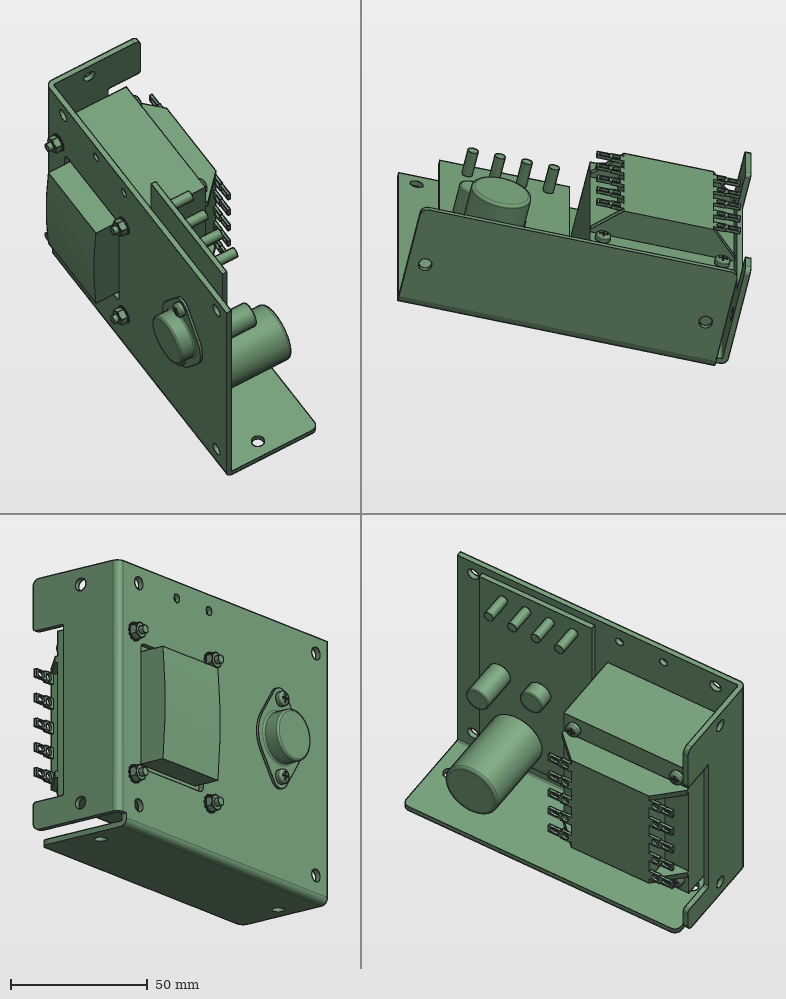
import cadquery as cq
import math

chassis_width = 123.8
chassis_depth = 39.9
chassis_height = 101.4
sheet = 2.1
bend_radius = 2.7
corner_relief = 4.7
flange_corner_radius = 2.7
notch_bottom = 15.5
notch_top = 81.5
notch_floor_y = 25.8
notch_floor_radius = 0.7
notch_mouth_radius = 1.4

mount_hole_diameter = 4.8
mount_hole_left = 12.0
mount_hole_right = 117.0
plate_hole_low = 9.5
plate_hole_high = 95.1
flange_hole_y = 17.7
flange_hole_right = 117.4
flange_hole_low = 11.0
small_hole_diameter = 3.3
small_hole_places = (34.5, 53.6)

core_center_x = 31.7
core_center_z = 48.3
core_width = 54.1
core_height = 65.9
core_back = 32.1
coil_width = 32.6
coil_height = 43.3
coil_shoulder = 8.5
coil_crown = 9.5
window_width = 37.1
window_height = 48.3
window_radius = 2.4
bobbin_back = 43.1
bobbin_back_width = 33.7
bobbin_height = 46.8
bobbin_flange = 2.5
bobbin_lip = 1.1

lug_count = 5
lug_pitch = 9.5
lug_thickness = 1.1
lug_reach = 10.0
lug_tip_length = 5.5
lug_tip_width = 3.1
lug_root_width = 4.1
lug_hole_diameter = 3.0
lug_hole_from_tip = 7.3
lug_slot_length = 3.7
lug_slot_width = 2.1

bolt_spacing_x = 44.8
bolt_spacing_z = 54.9
bolt_diameter = 3.1
bolt_tip = 5.2
washer_thickness = 0.5
washer_diameter = 6.1
tooth_count = 12
tooth_tip_diameter = 6.9
tooth_width = 0.9
nut_end = 3.2
nut_flats = 5.6
nut_chamfer = 0.5
head_diameter = 5.6
head_height = 2.5
head_rounding = 1.1
cross_length = 3.1
cross_width = 0.5
cross_depth = 0.7

transistor_x = 94.6
transistor_z = 56.5
transistor_base = 1.0
transistor_base_radius = 12.9
transistor_ear_radius = 4.3
transistor_screw_offset = 15.0
can_diameter = 19.5
can_end = 7.5
can_rounding = 0.7

board_left = 61.2
board_width = 48.8
board_bottom = 14.4
board_top = 104.3
board_front = 7.0
board_thickness = 2.0
board_back = board_front + board_thickness
spacer_diameter = 6.3
terminal_count = 4
terminal_pitch = 10.2
terminal_first_x = 69.2
terminal_z = 97.5
terminal_diameter = 4.0
terminal_end = 19.0
big_capacitor = dict(x=93.9, z=26.5, diameter=22.3, end=40.4, rounding=1.1)
tall_capacitor = dict(x=101.2, z=57.0, diameter=9.5, end=24.5, rounding=0.5)
short_capacitor = dict(x=83.7, z=57.0, diameter=9.5, end=15.2, rounding=0.5)


def block(x0, x1, y0, y1, z0, z1):
    """Box between two corners."""
    return cq.Workplane("XY").box(x1 - x0, y1 - y0, z1 - z0, centered=False).translate((x0, y0, z0))


def plane_at(y):
    """Drawing plane parallel to the front plate, with local axes X and Z, facing the front."""
    return cq.Workplane("XZ", origin=(0, y, 0))


def rod(x, z, y_front, y_back, diameter):
    """Cylinder along Y."""
    return plane_at(y_back).center(x, z).circle(diameter / 2).extrude(y_back - y_front)


def bent_angle(plane, start, end, plate_length):
    """Plate and flange joined by a round bend, extruded from start to end."""
    return (
        cq.Workplane(plane)
        .workplane(offset=start)
        .moveTo(plate_length, 0)
        .lineTo(bend_radius, 0)
        .radiusArc((0, bend_radius), bend_radius)
        .lineTo(0, chassis_depth)
        .lineTo(sheet, chassis_depth)
        .lineTo(sheet, bend_radius)
        .radiusArc((bend_radius, sheet), sheet - bend_radius)
        .lineTo(plate_length, sheet)
        .close()
        .extrude(end - start)
    )


def make_left_angle():
    angle = bent_angle("XY", corner_relief, chassis_height, chassis_width)
    angle = angle.edges("|X and >Y").fillet(flange_corner_radius)
    notch = block(-sheet, 2 * sheet, notch_floor_y, chassis_depth + sheet, notch_bottom, notch_top)
    angle = angle.cut(notch.edges("|X and <Y").fillet(notch_floor_radius))
    mouth_corners = cq.selectors.BoxSelector(
        (-sheet, chassis_depth - sheet, notch_bottom - sheet),
        (2 * sheet, chassis_depth + sheet, notch_top + sheet),
    )
    angle = angle.edges(mouth_corners).edges("|X").fillet(notch_mouth_radius)
    for z in (flange_hole_low, plate_hole_high):
        angle = angle.cut(
            cq.Workplane("YZ", origin=(-sheet, flange_hole_y, z)).circle(mount_hole_diameter / 2).extrude(3 * sheet)
        )
    return angle


def make_bottom_angle():
    angle = bent_angle("ZY", -chassis_width, -corner_relief, chassis_height)
    angle = angle.edges("|Z and >Y").fillet(flange_corner_radius)
    for x in (mount_hole_left, flange_hole_right):
        angle = angle.cut(
            cq.Workplane("XY", origin=(x, flange_hole_y, -sheet)).circle(mount_hole_diameter / 2).extrude(3 * sheet)
        )
    return angle


def bolt_places():
    return [
        (core_center_x + side * bolt_spacing_x / 2, core_center_z + level * bolt_spacing_z / 2)
        for side in (-1, 1)
        for level in (-1, 1)
    ]


def make_bracket():
    bracket = make_left_angle().union(make_bottom_angle())
    window = block(
        core_center_x - window_width / 2, core_center_x + window_width / 2, -sheet, 2 * sheet,
        core_center_z - window_height / 2, core_center_z + window_height / 2,
    )
    bracket = bracket.cut(window.edges("|Y").fillet(window_radius))
    holes = [(x, z, mount_hole_diameter) for x in (mount_hole_left, mount_hole_right)
             for z in (plate_hole_low, plate_hole_high)]
    holes += [(x, plate_hole_high, small_hole_diameter) for x in small_hole_places]
    holes += [(x, z, bolt_diameter) for x, z in bolt_places()]
    for x, z, diameter in holes:
        bracket = bracket.cut(rod(x, z, -sheet, 2 * sheet, diameter))
    return bracket


def screw_head():
    """Rounded head on the XY plane with a cross recess in its top."""
    head = cq.Workplane("XY").circle(head_diameter / 2).extrude(head_height)
    head = head.faces(">Z").edges().fillet(head_rounding)
    cross = cq.Workplane("XY", origin=(0, 0, head_height - cross_depth))
    for length, width in ((cross_length, cross_width), (cross_width, cross_length)):
        head = head.cut(cross.rect(length, width).extrude(head_height))
    return head


def head_facing_front(x, y, z):
    return screw_head().rotate((0, 0, 0), (1, 0, 0), 90).translate((x, y, z))


def head_facing_back(x, y, z):
    return screw_head().rotate((0, 0, 0), (1, 0, 0), -90).translate((x, y, z))


def make_transistor():
    tilt = math.asin((transistor_base_radius - transistor_ear_radius) / transistor_screw_offset)
    side_x, side_z = math.cos(tilt), math.sin(tilt)
    middle = (transistor_base_radius * side_x, transistor_base_radius * side_z)
    ear = (transistor_ear_radius * side_x, transistor_screw_offset + transistor_ear_radius * side_z)
    ear_top = (0, transistor_screw_offset + transistor_ear_radius)
    flange = (
        plane_at(0)
        .center(transistor_x, transistor_z)
        .moveTo(middle[0], -middle[1])
        .threePointArc((transistor_base_radius, 0), middle)
        .lineTo(*ear)
        .threePointArc(ear_top, (-ear[0], ear[1]))
        .lineTo(-middle[0], middle[1])
        .threePointArc((-transistor_base_radius, 0), (-middle[0], -middle[1]))
        .lineTo(-ear[0], -ear[1])
        .threePointArc((0, -ear_top[1]), (ear[0], -ear[1]))
        .close()
        .extrude(transistor_base)
    )
    can = rod(transistor_x, transistor_z, -can_end, 0, can_diameter)
    can = can.faces("<Y").edges().fillet(can_rounding)
    transistor = flange.union(can)
    foot_edge = cq.selectors.BoxSelector(
        (transistor_x - can_diameter, -1.1 * transistor_base, transistor_z - can_diameter),
        (transistor_x + can_diameter, -0.9 * transistor_base, transistor_z + can_diameter),
    )
    foot_circles = transistor.edges(foot_edge).edges("%CIRCLE")
    transistor = foot_circles.edges(cq.selectors.RadiusNthSelector(1)).fillet(can_rounding)
    for side in (-1, 1):
        z = transistor_z + side * transistor_screw_offset
        transistor = transistor.union(head_facing_front(transistor_x, -transistor_base, z))
    return transistor


def capacitor_can(x, z, diameter, end, rounding):
    return rod(x, z, board_back, end, diameter).faces(">Y").edges().fillet(rounding)


def make_board():
    board = block(board_left, board_left + board_width, board_front, board_back, board_bottom, board_top)
    for side in (-1, 1):
        z = transistor_z + side * transistor_screw_offset
        board = board.union(rod(transistor_x, z, sheet, board_front, spacer_diameter))
    for i in range(terminal_count):
        x = terminal_first_x + i * terminal_pitch
        board = board.union(rod(x, terminal_z, board_back, terminal_end, terminal_diameter))
    for capacitor in (big_capacitor, tall_capacitor, short_capacitor):
        board = board.union(capacitor_can(**capacitor))
    return board


def make_coil():
    """Winding with a bulged front face that sticks out through the plate window."""
    low = core_center_z - coil_height / 2
    high = core_center_z + coil_height / 2
    return (
        cq.Workplane("YZ", origin=(core_center_x - coil_width / 2, 0, 0))
        .moveTo(core_back, low)
        .lineTo(-coil_shoulder, low)
        .threePointArc((-coil_crown, core_center_z), (-coil_shoulder, high))
        .lineTo(core_back, high)
        .close()
        .extrude(coil_width)
    )


def make_bobbin():
    """Two tapered flanges on the back of the core with a plain block between them."""
    half_core = core_width / 2
    half_back = bobbin_back_width / 2
    outline = [
        (-half_core, core_back),
        (half_core, core_back),
        (half_core, core_back + bobbin_lip),
        (half_back, bobbin_back),
        (-half_back, bobbin_back),
        (-half_core, core_back + bobbin_lip),
    ]
    bottom = core_center_z - bobbin_height / 2
    top = core_center_z + bobbin_height / 2
    bobbin = block(
        core_center_x - half_back, core_center_x + half_back, core_back, bobbin_back, bottom, top
    )
    for z in (bottom, top - bobbin_flange):
        flange = cq.Workplane("XY", origin=(core_center_x, 0, z)).polyline(outline).close().extrude(bobbin_flange)
        bobbin = bobbin.union(flange)
    return bobbin


def make_lug(side, z):
    """Stepped flat lug with a slot in its narrow tip and a round hole in its wide root."""
    base = plane_at(bobbin_back).center(core_center_x + side * bobbin_back_width / 2, z)
    root_length = lug_reach - lug_tip_length
    root_middle = side * root_length / 2
    tip_middle = side * (root_length + lug_tip_length / 2)
    hole_middle = side * (lug_reach - lug_hole_from_tip)
    root = base.moveTo(root_middle, 0).rect(root_length, lug_root_width).extrude(lug_thickness)
    tip = base.moveTo(tip_middle, 0).rect(lug_tip_length, lug_tip_width).extrude(lug_thickness)
    hole = base.moveTo(hole_middle, 0).circle(lug_hole_diameter / 2).extrude(lug_thickness)
    slot = base.moveTo(tip_middle, 0).slot2D(lug_slot_length, lug_slot_width).extrude(lug_thickness)
    return root.union(tip).cut(hole).cut(slot)


def make_bolt(x, z):
    """Head behind the core, shank through the plate, toothed washer and nut on the front."""
    bolt = head_facing_back(x, core_back, z).union(rod(x, z, -bolt_tip, core_back, bolt_diameter))
    bolt = bolt.union(rod(x, z, -washer_thickness, 0, washer_diameter))
    for i in range(tooth_count):
        tooth = (
            plane_at(0).rect(tooth_tip_diameter / 2, tooth_width).extrude(washer_thickness)
            .translate((tooth_tip_diameter / 4, 0, 0))
            .rotate((0, 0, 0), (0, 1, 0), i * 360 / tooth_count)
            .translate((x, 0, z))
        )
        bolt = bolt.union(tooth)
    nut_corners = nut_flats / math.cos(math.pi / 6)
    hexagon = plane_at(0).polygon(6, nut_corners).extrude(nut_end).rotate((0, 0, 0), (0, 1, 0), 30)
    rounding = rod(0, 0, -nut_end, 0, nut_corners).faces("<Y").edges().chamfer(nut_chamfer)
    return bolt.union(hexagon.intersect(rounding).translate((x, 0, z)))


def make_transformer():
    core = block(
        core_center_x - core_width / 2, core_center_x + core_width / 2, sheet, core_back,
        core_center_z - core_height / 2, core_center_z + core_height / 2,
    )
    transformer = core.union(make_coil()).union(make_bobbin())
    for i in range(lug_count):
        z = core_center_z + (i - (lug_count - 1) / 2) * lug_pitch
        for side in (-1, 1):
            transformer = transformer.union(make_lug(side, z))
    for x, z in bolt_places():
        transformer = transformer.union(make_bolt(x, z))
    return transformer


chassis = make_bracket().union(make_transistor()).union(make_board())
transformer = make_transformer()

result = cq.Compound.makeCompound([chassis.solids().val(), transformer.solids().val()])